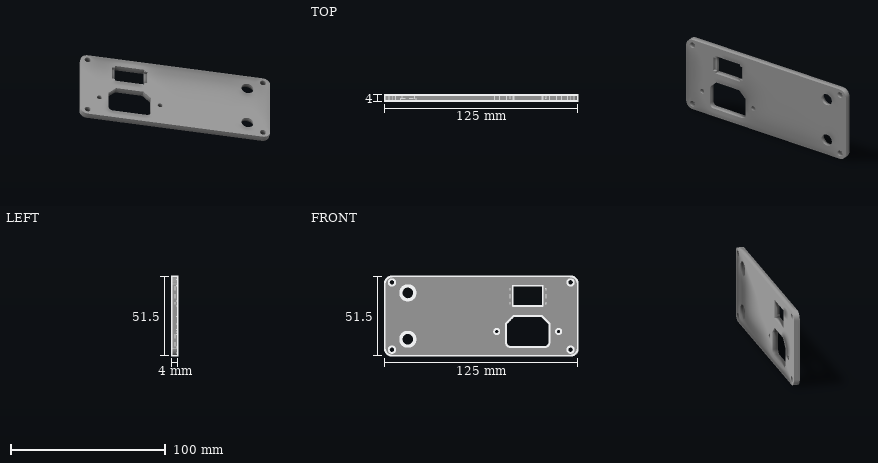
import cadquery as cq

plate_length = 125.0
plate_height = 51.5
plate_thickness = 4.0
plate_corner_radius = 5.0

mount_hole_diameter = 4.0
mount_spacing_x = 115.5
mount_spacing_z = 43.5

jack_hole_diameter = 8.0
jack_recess_diameter = 10.0
jack_recess_depth = plate_thickness / 2
jack_x = -47.5
jack_spacing_z = 30.0

switch_x = 30.0
switch_z = 13.0
switch_width = 19.2
switch_height = 12.9
clip_lip_thickness = plate_thickness / 2
clip_pocket_reach = 2.0
clip_end_margin = 1.5

inlet_x = switch_x
inlet_z = -10.0
inlet_width = 28.0
inlet_height = 20.0
inlet_chamfer = 5.0
inlet_corner_radius = 3.0
inlet_screw_diameter = 3.2
inlet_screw_spacing = 40.0


def box_cutter(x, z, width, height, front_y, depth):
    """Block centred at (x, z), running from front_y towards +Y."""
    return cq.Workplane("XY").box(width, depth, height).translate((x, front_y + depth / 2, z))


def round_cutter(centres, diameter, depth):
    """Cylinders at the (x, z) centres, running from the front face towards +Y."""
    return cq.Workplane("XZ").pushPoints(centres).circle(diameter / 2).extrude(-depth)


def make_plate():
    plate = box_cutter(0, 0, plate_length, plate_height, 0, plate_thickness)
    return plate.edges("|Y").fillet(plate_corner_radius)


def cut_mount_holes(body):
    centres = [
        (side_x * mount_spacing_x / 2, side_z * mount_spacing_z / 2)
        for side_x in (-1, 1)
        for side_z in (-1, 1)
    ]
    return body.cut(round_cutter(centres, mount_hole_diameter, plate_thickness))


def cut_jack_holes(body):
    centres = [(jack_x, side * jack_spacing_z / 2) for side in (-1, 1)]
    body = body.cut(round_cutter(centres, jack_hole_diameter, plate_thickness))
    return body.cut(round_cutter(centres, jack_recess_diameter, jack_recess_depth))


def cut_switch_opening(body):
    opening = box_cutter(switch_x, switch_z, switch_width, switch_height, 0, plate_thickness)
    clip_pockets = box_cutter(
        switch_x,
        switch_z,
        switch_width + 2 * clip_pocket_reach,
        switch_height - 2 * clip_end_margin,
        clip_lip_thickness,
        plate_thickness - clip_lip_thickness,
    )
    return body.cut(opening).cut(clip_pockets)


def cut_inlet_opening(body):
    opening = box_cutter(inlet_x, inlet_z, inlet_width, inlet_height, 0, plate_thickness)
    opening = opening.faces(">Z").edges("|Y").chamfer(inlet_chamfer)
    opening = opening.faces("<Z").edges("|Y").fillet(inlet_corner_radius)
    screw_centres = [(inlet_x + side * inlet_screw_spacing / 2, inlet_z) for side in (-1, 1)]
    screw_holes = round_cutter(screw_centres, inlet_screw_diameter, plate_thickness)
    return body.cut(opening).cut(screw_holes)


result = make_plate()
result = cut_mount_holes(result)
result = cut_jack_holes(result)
result = cut_switch_opening(result)
result = cut_inlet_opening(result)